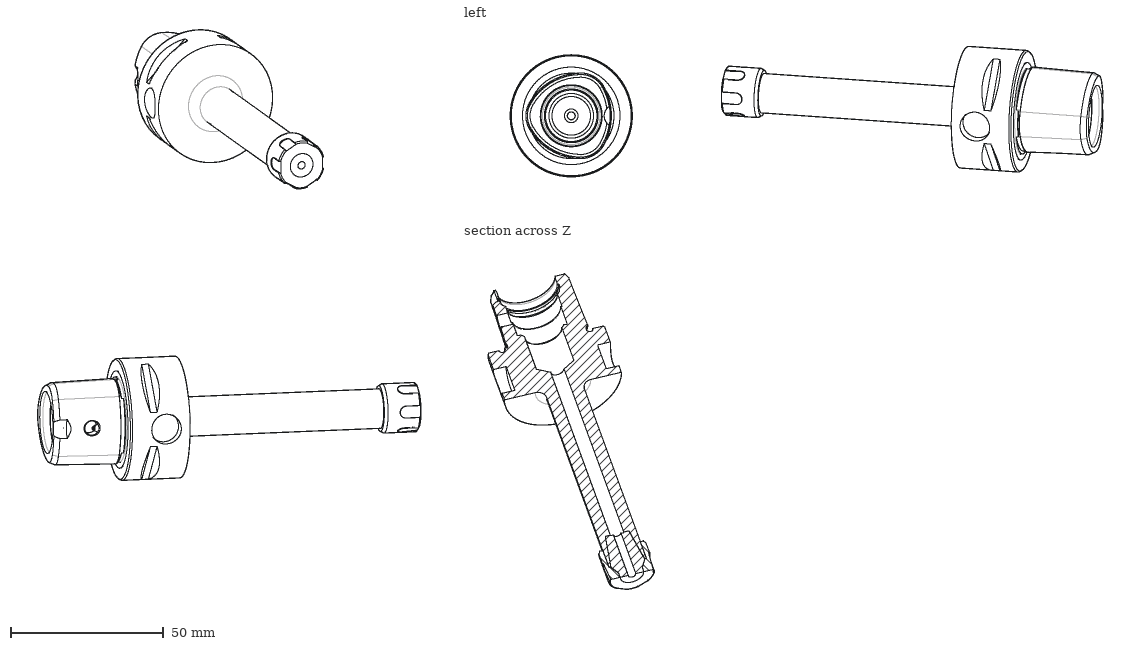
import cadquery as cq
import math


LENGTH = 124.0

FLANGE_START = 23.9
LOBE_DISTANCE = 6.3
LOBE_RADIUS = 8.5
TAPER_SLOPE = 1 / 40
TAPER_END = 22.2
SHANK_CHAMFER_LENGTH = 1.9
SHANK_CHAMFER_DEPTH = 0.9
NECK_INSET = 0.2
NECK_RADIUS = 14.0
NECK_CONE_END = 23.0
COLLAR_LENGTH = 0.4

FLANGE_DIAMETER = 40.0
FLANGE_RADIUS = FLANGE_DIAMETER / 2
FLANGE_END = 43.9
FLANGE_CHAMFER_LENGTH = 0.6
FLANGE_CHAMFER_DEPTH = 0.4
FACE_GROOVE_OUTER = 16.0
GRIP_X = 31.9
GRIP_FLOOR_WIDTH = 2.2
GRIP_MOUTH_WIDTH = 5.5
GRIP_FLOOR_DISTANCE = 17.6
GRIP_ANGLES = (45, 135, 225, 315)
RECESS_X = 36.0
RECESS_RADIUS = 5.0
RECESS_DEPTH = 4.3

STEM_RADIUS = 13.0 / 2
STEM_FILLET = 3.0
STEM_END = 119.0

MOUTH_RADIUS = 10.2
ENTRY_RADIUS = 9.9
ENTRY_CHAMFER = 1.0
RING_GROOVE_START = 3.5
RING_GROOVE_END = 4.7
RING_GROOVE_RADIUS = 10.4
ENTRY_END = 6.1
SHOULDER_CONE_LENGTH = 0.6
SHOULDER_RADIUS = 9.4
THROAT_RADIUS = 8.8
THROAT_END = 12.5
BORE_RADIUS = 8.4
BORE_END = 19.8
TAPPING_RADIUS = 6.3
TAPPING_CHAMFER = 1.0
TAPPING_END = 34.7
CHANNEL_RADIUS = 2.2
DRILL_TIP_ANGLE = 118
DRILL_SLOPE = math.tan(math.radians((180 - DRILL_TIP_ANGLE) / 2))

KEYWAY_RADIUS = 3.7
KEYWAY_FLOOR = 10.8
KEYWAY_LENGTH = 4.3
SIDE_HOLE_X = 12.5
SIDE_HOLE_RADIUS = 2.4
SIDE_HOLE_CHAMFER = 0.4

NUT_START = 111.7
NUT_RADIUS = 16.2 / 2
NUT_BACK_CHAMFER_LENGTH = 1.1
NUT_BACK_CHAMFER_DEPTH = 0.6
NUT_FRONT_CHAMFER_LENGTH = 0.5
NUT_FRONT_CHAMFER_DEPTH = 0.5
SLOT_COUNT = 6
SLOT_WIDTH = 4.0
SLOT_START = 116.9
SLOT_INNER_DISTANCE = 7.8
SLOT_FRONT_DISTANCE = 7.3

COLLET_START = 106.6
COLLET_RADIUS = 5.7
COLLET_NOSE_RADIUS = 4.0
COLLET_BORE_RADIUS = 1.2
COLLET_BACK_ANGLE = 8
COLLET_FRONT_ANGLE = 30
COLLET_BACK_SLOPE = math.tan(math.radians(COLLET_BACK_ANGLE))
COLLET_FRONT_SLOPE = math.tan(math.radians(COLLET_FRONT_ANGLE))
COLLET_BACK_RADIUS = COLLET_RADIUS - (STEM_END - COLLET_START) * COLLET_BACK_SLOPE
COLLET_NOSE_X = STEM_END + (COLLET_RADIUS - COLLET_NOSE_RADIUS) / COLLET_FRONT_SLOPE


def revolve_profile(points):
    """Solid of revolution about X from (x, radius) points."""
    return cq.Workplane("XZ").polyline(points).close().revolve(360, (0, 0, 0), (1, 0, 0))


def polygon_wire(x, inset):
    """Rounded triangle in the plane at x, made of three lobe arcs and three flank arcs."""
    lobe_radius = LOBE_RADIUS - inset
    flank_radius = lobe_radius + LOBE_DISTANCE * math.sqrt(3)

    def arc_point(lobe_angle, radius, direction):
        centre = math.radians(lobe_angle)
        normal = math.radians(direction)
        return (
            LOBE_DISTANCE * math.cos(centre) + radius * math.cos(normal),
            LOBE_DISTANCE * math.sin(centre) + radius * math.sin(normal),
        )

    wire = cq.Workplane("YZ", origin=(x, 0, 0)).moveTo(*arc_point(0, lobe_radius, -30))
    for lobe in (0, 120, 240):
        far_lobe = lobe + 240
        wire = wire.threePointArc(arc_point(lobe, lobe_radius, lobe), arc_point(lobe, lobe_radius, lobe + 30))
        wire = wire.threePointArc(
            arc_point(far_lobe, flank_radius, lobe + 60), arc_point(far_lobe, flank_radius, lobe + 90)
        )
    return wire.close().wires().val()


def make_shank():
    front_inset = TAPER_SLOPE * (TAPER_END - SHANK_CHAMFER_LENGTH)
    face = polygon_wire(0, front_inset + SHANK_CHAMFER_DEPTH)
    front = polygon_wire(SHANK_CHAMFER_LENGTH, front_inset)
    back = polygon_wire(TAPER_END, 0)
    chamfer = cq.Workplane(cq.Solid.makeLoft([face, front], True))
    taper = cq.Workplane(cq.Solid.makeLoft([front, back], True))
    neck_outline = polygon_wire(TAPER_END, NECK_INSET)
    neck = cq.Workplane(cq.Solid.extrudeLinear(neck_outline, [], cq.Vector(FLANGE_START - TAPER_END, 0, 0)))
    lobe_trim = revolve_profile([
        (TAPER_END, 0),
        (TAPER_END, LOBE_DISTANCE + LOBE_RADIUS),
        (NECK_CONE_END, NECK_RADIUS),
        (FLANGE_START, NECK_RADIUS),
        (FLANGE_START, 0),
    ])
    return chamfer.union(taper).union(neck.intersect(lobe_trim))


def make_flange_and_stem():
    collar_start = FLANGE_START - COLLAR_LENGTH
    fillet_end = FLANGE_END + STEM_FILLET
    fillet_middle = STEM_FILLET * (1 - math.sqrt(0.5))
    return (
        cq.Workplane("XZ")
        .moveTo(collar_start, 0)
        .lineTo(collar_start, NECK_RADIUS)
        .lineTo(FLANGE_START, NECK_RADIUS)
        .lineTo(FLANGE_START, FLANGE_RADIUS - FLANGE_CHAMFER_DEPTH)
        .lineTo(FLANGE_START + FLANGE_CHAMFER_LENGTH, FLANGE_RADIUS)
        .lineTo(FLANGE_END, FLANGE_RADIUS)
        .lineTo(FLANGE_END, STEM_RADIUS + STEM_FILLET)
        .threePointArc((FLANGE_END + fillet_middle, STEM_RADIUS + fillet_middle), (fillet_end, STEM_RADIUS))
        .lineTo(STEM_END, STEM_RADIUS)
        .lineTo(STEM_END, 0)
        .close()
        .revolve(360, (0, 0, 0), (1, 0, 0))
    )


def make_face_groove():
    groove_radius = (FACE_GROOVE_OUTER - NECK_RADIUS) / 2
    return (
        cq.Workplane("XZ")
        .moveTo(FLANGE_START, NECK_RADIUS)
        .threePointArc(
            (FLANGE_START + groove_radius, NECK_RADIUS + groove_radius), (FLANGE_START, FACE_GROOVE_OUTER)
        )
        .close()
        .revolve(360, (0, 0, 0), (1, 0, 0))
    )


def make_grip_groove(angle):
    """Flat-bottomed groove with sloping sides, cut straight across the flange rim."""
    floor_half = GRIP_FLOOR_WIDTH / 2
    mouth_half = GRIP_MOUTH_WIDTH / 2
    section = [
        (GRIP_X - floor_half, GRIP_FLOOR_DISTANCE),
        (GRIP_X + floor_half, GRIP_FLOOR_DISTANCE),
        (GRIP_X + mouth_half, FLANGE_RADIUS),
        (GRIP_X - mouth_half, FLANGE_RADIUS),
    ]
    groove = cq.Workplane("XZ").polyline(section).close().extrude(FLANGE_RADIUS, both=True)
    return groove.rotate((0, 0, 0), (1, 0, 0), angle)


def make_recess(side):
    """Round blind recess in the flange rim, on the +Y (1) or -Y (-1) side."""
    origin = (RECESS_X, side * (FLANGE_RADIUS - RECESS_DEPTH), 0)
    plane = cq.Plane(origin=origin, xDir=(1, 0, 0), normal=(0, side, 0))
    return cq.Workplane(plane).circle(RECESS_RADIUS).extrude(RECESS_DEPTH)


def make_bore():
    cone_end = TAPPING_END + (TAPPING_RADIUS - CHANNEL_RADIUS) * DRILL_SLOPE
    return revolve_profile([
        (0, 0),
        (0, MOUTH_RADIUS),
        (ENTRY_CHAMFER, ENTRY_RADIUS),
        (RING_GROOVE_START, ENTRY_RADIUS),
        (RING_GROOVE_START, RING_GROOVE_RADIUS),
        (RING_GROOVE_END, RING_GROOVE_RADIUS),
        (RING_GROOVE_END, ENTRY_RADIUS),
        (ENTRY_END, ENTRY_RADIUS),
        (ENTRY_END + SHOULDER_CONE_LENGTH, SHOULDER_RADIUS),
        (ENTRY_END + 2 * SHOULDER_CONE_LENGTH, THROAT_RADIUS),
        (THROAT_END, THROAT_RADIUS),
        (THROAT_END, BORE_RADIUS),
        (BORE_END, BORE_RADIUS),
        (BORE_END, TAPPING_RADIUS + TAPPING_CHAMFER),
        (BORE_END + TAPPING_CHAMFER, TAPPING_RADIUS),
        (TAPPING_END, TAPPING_RADIUS),
        (cone_end, CHANNEL_RADIUS),
        (COLLET_START, CHANNEL_RADIUS),
        (COLLET_START, COLLET_BACK_RADIUS),
        (STEM_END, COLLET_RADIUS),
        (STEM_END, 0),
    ])


def make_keyway():
    """Drilled groove along the shank edge, ending in a drill tip."""
    drill = revolve_profile([
        (0, 0),
        (0, KEYWAY_RADIUS),
        (KEYWAY_LENGTH, KEYWAY_RADIUS),
        (KEYWAY_LENGTH + KEYWAY_RADIUS * DRILL_SLOPE, 0),
    ])
    return drill.translate((0, -KEYWAY_FLOOR - KEYWAY_RADIUS, 0))


def make_side_hole():
    """Chamfered radial hole from the middle of the -Y flank into the bore."""
    inset = TAPER_SLOPE * (TAPER_END - SIDE_HOLE_X)
    surface = LOBE_RADIUS - inset + LOBE_DISTANCE * (math.sqrt(3) - 1)
    rim_radius = SIDE_HOLE_RADIUS + SIDE_HOLE_CHAMFER
    plane = cq.Plane(origin=(SIDE_HOLE_X, -surface, 0), xDir=(1, 0, 0), normal=(0, 1, 0))
    hole = cq.Workplane(plane).circle(SIDE_HOLE_RADIUS).extrude(surface)
    rim = cq.Workplane(plane).circle(rim_radius).workplane(offset=SIDE_HOLE_CHAMFER)
    return hole.union(rim.circle(SIDE_HOLE_RADIUS).loft())


def make_holder():
    holder = make_shank().union(make_flange_and_stem())
    holder = holder.cut(make_face_groove())
    for angle in GRIP_ANGLES:
        holder = holder.cut(make_grip_groove(angle))
    for side in (1, -1):
        holder = holder.cut(make_recess(side))
    return holder.cut(make_bore()).cut(make_keyway()).cut(make_side_hole())


def make_nut_slot(angle):
    """Round-ended wrench slot, open at the front of the nut, with a floor that slopes inward."""
    half_width = SLOT_WIDTH / 2
    run = LENGTH - SLOT_START
    drop = SLOT_INNER_DISTANCE - SLOT_FRONT_DISTANCE
    floor_length = math.hypot(run, drop)
    floor = cq.Plane(origin=(SLOT_START, 0, SLOT_INNER_DISTANCE), xDir=(run, 0, -drop), normal=(drop, 0, run))
    slot = (
        cq.Workplane(floor)
        .moveTo(floor_length, half_width)
        .lineTo(half_width, half_width)
        .threePointArc((0, 0), (half_width, -half_width))
        .lineTo(floor_length, -half_width)
        .close()
        .extrude(NUT_RADIUS - SLOT_FRONT_DISTANCE)
    )
    return slot.rotate((0, 0, 0), (1, 0, 0), angle)


def make_nut():
    nut = revolve_profile([
        (NUT_START, STEM_RADIUS),
        (NUT_START, NUT_RADIUS - NUT_BACK_CHAMFER_DEPTH),
        (NUT_START + NUT_BACK_CHAMFER_LENGTH, NUT_RADIUS),
        (LENGTH - NUT_FRONT_CHAMFER_LENGTH, NUT_RADIUS),
        (LENGTH, NUT_RADIUS - NUT_FRONT_CHAMFER_DEPTH),
        (LENGTH, COLLET_NOSE_RADIUS),
        (COLLET_NOSE_X, COLLET_NOSE_RADIUS),
        (STEM_END, COLLET_RADIUS),
        (STEM_END, STEM_RADIUS),
    ])
    for index in range(SLOT_COUNT):
        nut = nut.cut(make_nut_slot(90 + index * 360 / SLOT_COUNT))
    return nut


def make_collet():
    return revolve_profile([
        (COLLET_START, COLLET_BORE_RADIUS),
        (COLLET_START, COLLET_BACK_RADIUS),
        (STEM_END, COLLET_RADIUS),
        (COLLET_NOSE_X, COLLET_NOSE_RADIUS),
        (LENGTH, COLLET_NOSE_RADIUS),
        (LENGTH, COLLET_BORE_RADIUS),
    ])


holder = make_holder()
nut = make_nut()
collet = make_collet()

result = cq.Compound.makeCompound([holder.val(), nut.val(), collet.val()])